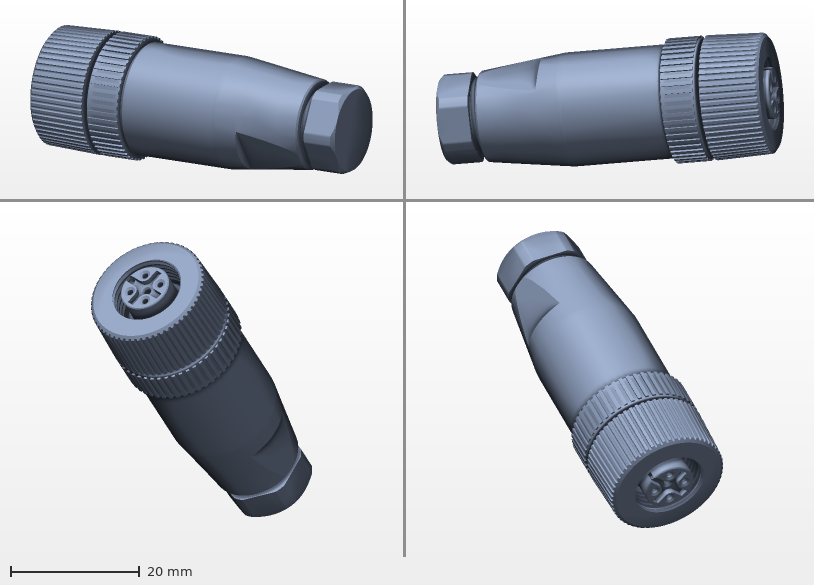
import cadquery as cq
import math

TOTAL_LENGTH = 52.45

NUT_FRONT_X = 0.5
NUT_BEVEL_X = 1.05
NUT_REAR_X = 9.85
NUT_FACE_R = 8.8
NUT_FRONT_R = 9.45
NUT_REAR_R = 9.75
NUT_GROOVES = 60
NUT_GROOVE_R = 0.25

BORE_R = 5.6
THREAD_ROOT_R = 6.0
THREAD_PITCH = 1.0
THREAD_TURN = 110.0
BORE_FLOOR_X = 6.8

NECK_R = 6.5
NECK_FLAT_WIDTH = 2.1
RING_FLANGE_X = 10.6
RING_FRONT_X = 10.9
RING_REAR_X = 16.05
RING_FLANGE_R = 9.45
RING_FLANGE_ROUND = 0.25
RING_R = NUT_REAR_R
RING_GROOVES = 50
RING_GROOVE_WIDTH = 0.65
RING_GROOVE_TURN = 1.4

RELIEF_R = 8.5
HOUSING_FRONT_X = 16.4
HOUSING_EDGE = 0.15
HOUSING_R = 17.8 / 2
BLEND_START_X = 32.1
BLEND_END_X = 32.7
BLEND_END_R = 8.85
CONE_END_X = 46.15
CONE_END_R = 7.15
CONE_EDGE = 0.25
FLAT_DISTANCE = 7.05
FLAT_FRONT_X = 35.85
FLAT_WALL_SLANT = 0.3
FLAT_TURN = 35.0

STUB_R = 11.2 / 2
STUB_CREST_R = 6.3
STUB_PITCH = 1.5
STUB_CREST_TOP_X = 47.0
HEX_FRONT_X = 47.3
HEX_ACROSS_FLATS = 12.9
HEX_CORNER_R = 7.05
HEX_CORNER_FILLET = 0.8
HEX_BEVEL_LENGTH = 0.6
HEX_BEVEL_END_R = 6.45

INSERT_R = 4.05
INSERT_EDGE = 0.15
SEAL_SECTION_R = 0.45
SEAL_RING_R = INSERT_R + SEAL_SECTION_R
SEAL_SEAT_X = 5.75
CONTACT_OFFSET = 2.5
CONTACT_MOUTH_R = 0.9
CONTACT_HOLE_R = 1.0 / 2
CENTRE_MOUTH_R = 1.55 / 2
CENTRE_HOLE_R = 1.1 / 2
CONTACT_MOUTH_DEPTH = 0.25
CONTACT_HOLE_DEPTH = 1.55
CONTACT_PIN_R = 0.25
CONTACT_PIN_DEPTH = 2.6
CROSS_WIDTH = 1.15
CROSS_REACH = 3.4
CROSS_DEPTH = 0.95
KEY_R = 1.1 / 2
KEY_OFFSET = 3.55
KEY_DEPTH = 1.55


def along_x(x, y=0.0, z=0.0):
    """Sketch plane at x, facing +X, with local axes along Y and Z."""
    return cq.Workplane("YZ", origin=(x, y, z))


def turned(points):
    """Solid of revolution about X from (x, radius) points."""
    return cq.Workplane("XY").polyline(points).close().revolve(360, (0, 0, 0), (1, 0, 0))


def rod(x, length, radius, y=0.0, z=0.0):
    return along_x(x, y, z).circle(radius).extrude(length)


def around_axis(tool, count, first_angle=0.0):
    """Compound of evenly spaced copies of a tool about the X axis."""
    copies = []
    for i in range(count):
        angle = first_angle + 360.0 * i / count
        copies.append(tool.val().rotate(cq.Vector(), cq.Vector(1, 0, 0), angle))
    return cq.Workplane(cq.Compound.makeCompound(copies))


def outer_body():
    return turned([
        (NUT_FRONT_X, 0),
        (NUT_FRONT_X, NUT_FACE_R),
        (NUT_BEVEL_X, NUT_FRONT_R),
        (NUT_REAR_X, NUT_REAR_R),
        (NUT_REAR_X, NECK_R),
        (RING_FRONT_X, NECK_R),
        (RING_FRONT_X, RING_R),
        (RING_REAR_X, RING_R),
        (RING_REAR_X, RELIEF_R),
        (HOUSING_FRONT_X, RELIEF_R),
        (HOUSING_FRONT_X, HOUSING_R - HOUSING_EDGE),
        (HOUSING_FRONT_X + HOUSING_EDGE, HOUSING_R),
        (BLEND_START_X, HOUSING_R),
        (BLEND_END_X, BLEND_END_R),
        (CONE_END_X - CONE_EDGE, CONE_END_R),
        (CONE_END_X, CONE_END_R - CONE_EDGE),
        (CONE_END_X, STUB_R),
        (HEX_FRONT_X, STUB_R),
        (HEX_FRONT_X, 0),
    ])


def ring_flange():
    """Smooth flange with a rounded rim in front of the knurled ring."""
    flange = rod(RING_FLANGE_X, RING_FRONT_X - RING_FLANGE_X, RING_FLANGE_R)
    return flange.faces("<X").edges().fillet(RING_FLANGE_ROUND)


def nut_knurl():
    """Half-round grooves that follow the taper of the coupling nut."""
    overrun = NUT_BEVEL_X - NUT_FRONT_X
    slope = (NUT_REAR_R - NUT_FRONT_R) / (NUT_REAR_X - NUT_BEVEL_X)
    start = cq.Vector(NUT_FRONT_X - overrun, 0, NUT_FRONT_R - 2 * overrun * slope)
    end = cq.Vector(NUT_REAR_X + overrun, 0, NUT_REAR_R + overrun * slope)
    path = end - start
    groove = cq.Solid.makeCylinder(NUT_GROOVE_R, path.Length, start, path)
    return around_axis(cq.Workplane(groove), NUT_GROOVES)


def neck_flat():
    """Small flat on the -Y side of the neck, between coupling nut and ring flange."""
    distance = math.sqrt(NECK_R ** 2 - (NECK_FLAT_WIDTH / 2) ** 2)
    return cq.Workplane("XY").box(
        RING_FLANGE_X - NUT_REAR_X, NECK_R - distance, NECK_FLAT_WIDTH, centered=(False, False, True)
    ).translate((NUT_REAR_X, -NECK_R, 0))


def ring_knurl():
    """Square grooves of the ring, as deep as its front flange."""
    depth = RING_R - RING_FLANGE_R
    groove = (
        along_x(RING_FRONT_X, 0, RING_R)
        .rect(RING_GROOVE_WIDTH, 2 * depth)
        .extrude(RING_REAR_X - RING_FRONT_X)
    )
    return around_axis(groove, RING_GROOVES, RING_GROOVE_TURN)


def thread(start_x, end_x, pitch, base_r, tip_r, turn):
    """Right-hand V thread about X; its tip starts turn degrees past +Z, away from +Y."""
    overlap = 0.05
    half_base = 0.4 * pitch
    helix = cq.Wire.makeHelix(pitch, end_x - start_x, base_r)
    section = cq.Workplane("XZ").polyline([
        (base_r - overlap, -half_base),
        (base_r - overlap, half_base),
        (tip_r, 0),
    ]).close()
    ridge = section.sweep(cq.Workplane(helix), isFrenet=True)
    ridge = ridge.rotate((0, 0, 0), (0, 1, 0), 90)
    return ridge.rotate((0, 0, 0), (1, 0, 0), 180 + turn).translate((start_x, 0, 0))


def threaded_bore():
    """Threaded bore of the coupling nut, ending in the conical seat of the sealing ring."""
    bore = turned([
        (NUT_FRONT_X, 0),
        (NUT_FRONT_X, BORE_R),
        (BORE_FLOOR_X, BORE_R),
        (SEAL_SEAT_X, SEAL_RING_R + SEAL_SECTION_R),
        (SEAL_SEAT_X, 0),
    ])
    groove = thread(
        NUT_FRONT_X - THREAD_PITCH, SEAL_SEAT_X, THREAD_PITCH, BORE_R, THREAD_ROOT_R, THREAD_TURN
    )
    return bore.union(groove)


def stub_thread():
    """Thread between housing and clamping nut, running into both."""
    return thread(
        STUB_CREST_TOP_X - STUB_PITCH, STUB_CREST_TOP_X + STUB_PITCH / 2, STUB_PITCH, STUB_R, STUB_CREST_R, 0
    )


def wrench_flats():
    outside = HOUSING_R + 0.5
    slope = FLAT_WALL_SLANT / (HOUSING_R - FLAT_DISTANCE)
    flat = (
        cq.Workplane("XY")
        .polyline([
            (FLAT_FRONT_X + FLAT_WALL_SLANT, FLAT_DISTANCE),
            (FLAT_FRONT_X + FLAT_WALL_SLANT - slope * (outside - FLAT_DISTANCE), outside),
            (CONE_END_X, outside),
            (CONE_END_X, FLAT_DISTANCE),
        ])
        .close()
        .extrude(HOUSING_R, both=True)
    )
    return around_axis(flat, 2, FLAT_TURN)


def clamping_nut():
    length = TOTAL_LENGTH - HEX_FRONT_X
    corner_diameter = HEX_ACROSS_FLATS / math.cos(math.pi / 6)
    hexagon = along_x(HEX_FRONT_X).polygon(6, corner_diameter).extrude(length)
    hexagon = hexagon.intersect(rod(HEX_FRONT_X, length, HEX_CORNER_R))
    hexagon = hexagon.edges("|X").fillet(HEX_CORNER_FILLET)
    bevel_limit = turned([
        (HEX_FRONT_X, 0),
        (HEX_FRONT_X, HEX_CORNER_R),
        (TOTAL_LENGTH - HEX_BEVEL_LENGTH, HEX_CORNER_R),
        (TOTAL_LENGTH, HEX_BEVEL_END_R),
        (TOTAL_LENGTH, 0),
    ])
    return hexagon.intersect(bevel_limit)


def contact_positions():
    return [(CONTACT_OFFSET, 0), (0, CONTACT_OFFSET), (-CONTACT_OFFSET, 0), (0, -CONTACT_OFFSET)]


def cross_recess():
    """Diagonal cross whose inner corners wrap round the four outer contacts."""
    block_r = CONTACT_OFFSET / math.sqrt(2) - CROSS_WIDTH / 2
    recess = along_x(0).polyline(contact_positions()).close().extrude(CROSS_DEPTH)
    for y, z in contact_positions():
        recess = recess.cut(rod(0, CROSS_DEPTH, block_r, y, z))
    for angle in (45, -45):
        arm = along_x(0).rect(2 * CROSS_REACH, CROSS_WIDTH).extrude(CROSS_DEPTH)
        recess = recess.union(arm.rotate((0, 0, 0), (1, 0, 0), angle))
    return recess


def contact_hole(x, y, z, mouth_r, hole_r):
    """Socket with a conical mouth."""
    return (
        cq.Workplane("XY")
        .polyline([
            (x, 0),
            (x, mouth_r),
            (x + CONTACT_MOUTH_DEPTH, hole_r),
            (x + CONTACT_HOLE_DEPTH, hole_r),
            (x + CONTACT_HOLE_DEPTH, 0),
        ])
        .close()
        .revolve(360, (0, 0, 0), (1, 0, 0))
        .translate((0, y, z))
    )


def contact_insert():
    insert = rod(0, SEAL_SEAT_X, INSERT_R).faces("<X").chamfer(INSERT_EDGE)
    insert = insert.cut(cross_recess())
    insert = insert.cut(contact_hole(CROSS_DEPTH, 0, 0, CENTRE_MOUTH_R, CENTRE_HOLE_R))
    for y, z in contact_positions():
        insert = insert.cut(contact_hole(0, y, z, CONTACT_MOUTH_R, CONTACT_HOLE_R))
        insert = insert.cut(rod(0, CONTACT_PIN_DEPTH, CONTACT_PIN_R, y, z))
    key_side = KEY_OFFSET / math.sqrt(2)
    return insert.cut(rod(0, KEY_DEPTH, KEY_R, key_side, key_side))


def sealing_ring():
    """Ring sunk half into its seat around the insert."""
    centre = cq.Vector(SEAL_SEAT_X, 0, 0)
    return cq.Workplane(cq.Solid.makeTorus(SEAL_RING_R, SEAL_SECTION_R, centre, cq.Vector(1, 0, 0)))


body = outer_body()
body = body.union(ring_flange())
body = body.cut(threaded_bore())
body = body.cut(neck_flat())
body = body.cut(nut_knurl())
body = body.cut(ring_knurl())
body = body.cut(wrench_flats())
body = body.union(stub_thread())
body = body.union(clamping_nut())
body = body.union(sealing_ring())
result = body.union(contact_insert())